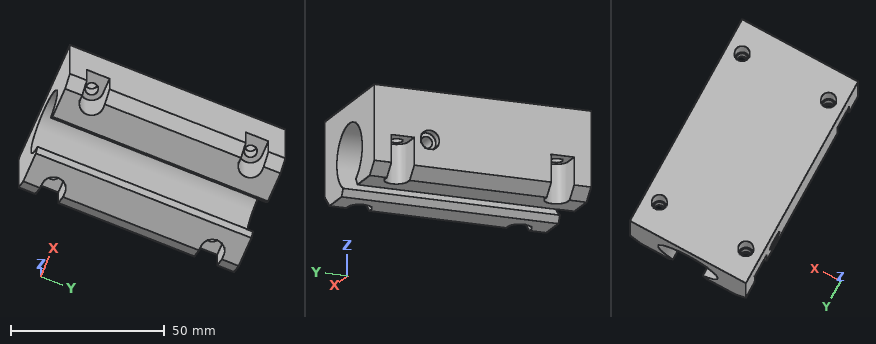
import cadquery as cq
import math

WIDTH = 43.0
LENGTH = 76.0
HEIGHT = 30.0
BOTTOM_CHAMFER = 4.0

BORE_DIAMETER = 22.0
BORE_HEIGHT = 12.0
GAP_ANGLE = 60.0

SCREW_SPACING_X = 32.0
SCREW_SPACING_Y = 56.0
THREAD_DIAMETER = 5.0
CORE_DIAMETER = 4.2
THREAD_DEPTH = 11.0
POCKET_DIAMETER = 8.0
POCKET_HEIGHT = 13.5

OIL_HOLE_Y = 18.5
OIL_HOLE_HEIGHT = 13.3
OIL_RECESS_DIAMETER = 6.5
OIL_RECESS_DEPTH = 3.0
OIL_HOLE_DIAMETER = 4.0


def make_block():
    """Rectangular block with both lower long edges chamfered."""
    block = cq.Workplane("XY").box(WIDTH, LENGTH, HEIGHT, centered=(True, True, False))
    return block.faces("<Z").edges("|Y").chamfer(BOTTOM_CHAMFER)


def make_bore():
    """Round bore plus the gap below it, whose sides are radial to the bore."""
    gap_half_width = BORE_HEIGHT * math.tan(math.radians(GAP_ANGLE / 2))
    section = cq.Workplane("XZ", origin=(0, LENGTH / 2, 0))
    bore = section.center(0, BORE_HEIGHT).circle(BORE_DIAMETER / 2).extrude(LENGTH)
    gap_outline = [(0, BORE_HEIGHT), (-gap_half_width, 0), (gap_half_width, 0)]
    gap = section.polyline(gap_outline).close().extrude(LENGTH)
    return bore.union(gap)


def make_screw_hole(side_x, side_y):
    """Threaded hole from the top and a round-ended pocket open to the side and bottom."""
    x = side_x * SCREW_SPACING_X / 2
    y = side_y * SCREW_SPACING_Y / 2
    distance_to_side = WIDTH / 2 - SCREW_SPACING_X / 2
    base = cq.Workplane("XY", origin=(x, y, 0))
    core = base.circle(CORE_DIAMETER / 2).extrude(HEIGHT)
    thread = (
        base.workplane(offset=HEIGHT - THREAD_DEPTH)
        .circle(THREAD_DIAMETER / 2)
        .extrude(THREAD_DEPTH)
    )
    round_end = base.circle(POCKET_DIAMETER / 2).extrude(POCKET_HEIGHT)
    opening = (
        base.center(side_x * distance_to_side / 2, 0)
        .rect(distance_to_side, POCKET_DIAMETER)
        .extrude(POCKET_HEIGHT)
    )
    return core.union(thread).union(round_end).union(opening)


def make_oil_hole():
    """Recess in the -X side with a smaller hole running on into the bore."""
    entry = cq.Workplane("YZ", origin=(-WIDTH / 2, OIL_HOLE_Y, OIL_HOLE_HEIGHT))
    recess = entry.circle(OIL_RECESS_DIAMETER / 2).extrude(OIL_RECESS_DEPTH)
    passage = entry.circle(OIL_HOLE_DIAMETER / 2).extrude(WIDTH / 2)
    return recess.union(passage)


result = make_block().cut(make_bore())
for side_x in (-1, 1):
    for side_y in (-1, 1):
        result = result.cut(make_screw_hole(side_x, side_y))
result = result.cut(make_oil_hole())